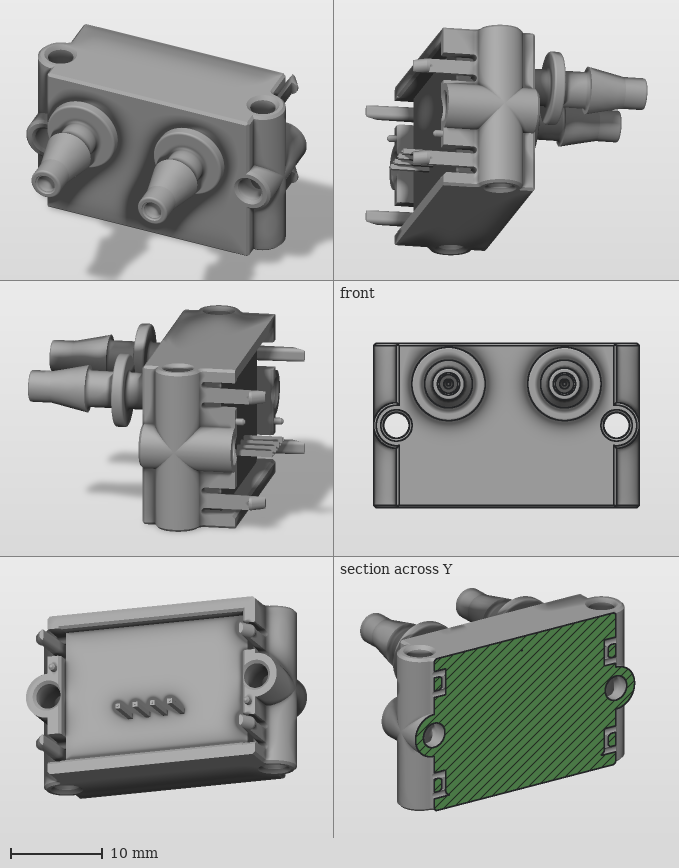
import cadquery as cq

OVERALL_WIDTH = 29
HALF_WIDTH = 12.0
DEPTH = 10.3
HEIGHT = 17.95
EDGE_CHAMFER = 0.3

BARREL_RADIUS = OVERALL_WIDTH / 2 - HALF_WIDTH
BARREL_Y = 4.0
BARREL_FILLET = 0.5
SCREW_HOLE_RADIUS = 1.4
Y_COUNTERSINK_RADIUS = 1.7
Z_COUNTERSINK_RADIUS = 1.8

WALL = 1.5
CAVITY_DEPTH = 1.8
CORE_HALF_WIDTH = HALF_WIDTH - WALL

CLIP_WIDTH = 1.5
CLIP_ROOT_X = HALF_WIDTH - 1.07
CLIP_TIP_INNER_X = HALF_WIDTH - 0.7
CLIP_ROUND = 0.44
CLIP_TIP_Y = 13.6
HOOK_LEDGE_Y = 11.95
HOOK_RAMP_Y = 12.3
HOOK_REACH = 0.65
HOOK_TIP_INSET = 0.23
HOOK_FILLET = 0.7
SLOT_WIDTH = 3.1
SLOT_END_Y = 6.6
SLOT_FILLET = 0.38
CORE_CORNER_RADIUS = 0.58
LOW_CLIP_Z = -5.97
LEFT_HIGH_CLIP_Z = 4.5
RIGHT_HIGH_CLIP_Z = 5.97

PEG_X = HALF_WIDTH - WALL / 2
PEG_Z = 3.0
PEG_RADIUS = 0.38
PEG_LENGTH = 1.02
PEG_CHAMFER = 0.23

PIN_COUNT = 4
PIN_PITCH = 2.0
PIN_Z = -2.78
PIN_WIDTH = 0.55
PIN_SHOULDER_Y = 12.82
PIN_TIP_LENGTH = 0.15
PIN_TIP_WIDTH = 0.17

PORT_X = 6.32
PORT_Z = 4.52
TUBE_RADIUS = 2.0
ROOT_FILLET = 0.5
NECK_FILLET = 0.25
FLANGE_START = 2.55
FLANGE_END = 3.8
FLANGE_RADIUS = 4.0
FLANGE_ROUND = 0.23
BARB_START = 7.0
BARB_END = 11.0
BARB_RADIUS = 2.6
TIP_RADIUS = 1.75
TIP_ROUND = 0.23
PORT_LENGTH = 13.45
BORE_RADIUS = 1.02
BORE_MOUTH_RADIUS = 1.22
INLET_RADIUS = 0.52
INLET_END_RADIUS = 0.2
INLET_DEPTH = 1.0

SIDES = (-1, 1)


def plane_at(y, x=0, z=0):
    """Sketch plane facing +Y: local x is -X, local y is Z."""
    return cq.Workplane(cq.Plane(origin=(x, y, z), xDir=(-1, 0, 0), normal=(0, 1, 0)))


def section_plane(y):
    """Sketch plane facing -Y: local x is X, local y is Z; negative extrusions go toward +Y."""
    return cq.Workplane("XZ", origin=(0, y, 0))


def revolve_about_y(profile):
    """Revolve an XY profile, with radius along X, about the Y axis."""
    return profile.close().revolve(360, (0, 0, 0), (0, 1, 0))


def make_housing():
    z_barrels = (
        cq.Workplane("XY", origin=(0, BARREL_Y, -HEIGHT / 2))
        .pushPoints([(side * HALF_WIDTH, 0) for side in SIDES])
        .circle(BARREL_RADIUS)
        .extrude(HEIGHT)
    )
    body = (
        cq.Workplane("XY")
        .box(2 * HALF_WIDTH, DEPTH, HEIGHT, centered=(True, False, True))
        .union(z_barrels)
    )
    for side in SIDES:
        seam = cq.selectors.NearestToPointSelector((side * HALF_WIDTH, BARREL_Y + BARREL_RADIUS, 0))
        body = body.edges(seam).fillet(BARREL_FILLET)
    body = body.faces("<Z or >Z").edges("not(>Y)").chamfer(EDGE_CHAMFER)
    body = body.faces("<Y").edges("|Z").chamfer(EDGE_CHAMFER)
    for side in SIDES:
        y_barrel = plane_at(0, side * HALF_WIDTH).circle(BARREL_RADIUS).extrude(DEPTH)
        body = body.union(y_barrel.faces("<Y").chamfer(EDGE_CHAMFER))
    return body


def make_cavity():
    mouth = (
        plane_at(DEPTH)
        .rect(2 * (CORE_HALF_WIDTH + EDGE_CHAMFER), HEIGHT - 2 * (WALL - EDGE_CHAMFER))
        .extrude(-EDGE_CHAMFER, taper=45)
    )
    return (
        plane_at(DEPTH - CAVITY_DEPTH)
        .rect(2 * CORE_HALF_WIDTH, HEIGHT - 2 * WALL)
        .extrude(CAVITY_DEPTH)
        .union(mouth)
    )


def make_screw_hole(length, countersink_radius):
    """Through hole along Z, centred on the origin and countersunk at both ends."""
    countersink = countersink_radius - SCREW_HOLE_RADIUS
    return (
        cq.Workplane("XZ")
        .moveTo(0, -length / 2)
        .lineTo(countersink_radius, -length / 2)
        .lineTo(SCREW_HOLE_RADIUS, -length / 2 + countersink)
        .lineTo(SCREW_HOLE_RADIUS, length / 2 - countersink)
        .lineTo(countersink_radius, length / 2)
        .lineTo(0, length / 2)
        .close()
        .revolve(360, (0, 0, 0), (0, 1, 0))
    )


def make_clip_bar():
    """Bar on the +X side that tapers toward its tip and is rounded along its inner edges."""
    outer_x = HALF_WIDTH + HOOK_REACH
    bar = (
        cq.Workplane("XY")
        .polyline([
            (CLIP_ROOT_X, SLOT_END_Y),
            (outer_x, SLOT_END_Y),
            (outer_x, CLIP_TIP_Y),
            (CLIP_TIP_INNER_X, CLIP_TIP_Y),
        ])
        .close()
        .extrude(CLIP_WIDTH / 2, both=True)
    )
    return bar.faces("<X").edges("not |Z").fillet(CLIP_ROUND)


def make_slot(z):
    """Cutter on the +X side: a gap on both sides of the clip, joined by the clearance behind it."""
    depth = DEPTH - SLOT_END_Y
    gap_width = (SLOT_WIDTH - CLIP_WIDTH) / 2
    gap_outer_x = HALF_WIDTH + BARREL_FILLET
    gap_x = (gap_outer_x + CORE_HALF_WIDTH) / 2
    gap_thickness = gap_outer_x - CORE_HALF_WIDTH
    clearance = (
        plane_at(SLOT_END_Y, gap_x)
        .rect(gap_thickness, CLIP_WIDTH)
        .extrude(depth)
    )
    slot = clearance.cut(make_clip_bar())
    for level in SIDES:
        gap_z = level * (SLOT_WIDTH - gap_width) / 2
        gap = (
            plane_at(SLOT_END_Y, gap_x, gap_z)
            .rect(gap_thickness, gap_width)
            .extrude(depth)
        )
        slot = slot.union(gap.faces("<Y").edges("|X").fillet(SLOT_FILLET))
    return slot.translate((0, 0, z))


def make_core_corner_relief():
    """Cutter that rounds the lower +X corner of the core where the low slot exposes it."""
    low_z = WALL - HEIGHT / 2
    high_z = low_z + CORE_CORNER_RADIUS
    inner_x = CORE_HALF_WIDTH - CORE_CORNER_RADIUS
    return (
        section_plane(SLOT_END_Y)
        .moveTo(inner_x, low_z)
        .radiusArc((CORE_HALF_WIDTH, high_z), -CORE_CORNER_RADIUS)
        .lineTo(CORE_HALF_WIDTH, low_z)
        .close()
        .extrude(SLOT_END_Y - DEPTH)
    )


def make_slot_entry_chamfer():
    """Cutter that bevels the lower entry edge of the low +X slot."""
    low_z = LOW_CLIP_Z - SLOT_WIDTH / 2
    return (
        cq.Workplane("YZ", origin=(CORE_HALF_WIDTH, 0, 0))
        .polyline([
            (DEPTH, low_z),
            (DEPTH - EDGE_CHAMFER, low_z),
            (DEPTH, low_z - EDGE_CHAMFER),
        ])
        .close()
        .extrude(WALL)
    )


def make_clip():
    """Snap clip for the +X side, centred on Z = 0."""
    hook_x = HALF_WIDTH + HOOK_REACH
    clip = (
        cq.Workplane("XY")
        .polyline([
            (CLIP_ROOT_X, SLOT_END_Y),
            (HALF_WIDTH, SLOT_END_Y),
            (HALF_WIDTH, HOOK_LEDGE_Y),
            (hook_x, HOOK_LEDGE_Y),
            (hook_x, HOOK_RAMP_Y),
            (HALF_WIDTH - HOOK_TIP_INSET, CLIP_TIP_Y),
            (CLIP_TIP_INNER_X, CLIP_TIP_Y),
        ])
        .close()
        .extrude(CLIP_WIDTH / 2, both=True)
    )
    ramp_middle_x = HALF_WIDTH + (HOOK_REACH - HOOK_TIP_INSET) / 2
    ramp_middle_y = (HOOK_RAMP_Y + CLIP_TIP_Y) / 2
    lip_middle_y = (HOOK_LEDGE_Y + HOOK_RAMP_Y) / 2
    for z in (-CLIP_WIDTH / 2, CLIP_WIDTH / 2):
        ramp_edge = cq.selectors.NearestToPointSelector((ramp_middle_x, ramp_middle_y, z))
        lip_edge = cq.selectors.NearestToPointSelector((hook_x, lip_middle_y, z))
        clip = clip.edges(ramp_edge + lip_edge).fillet(HOOK_FILLET)
    return clip.intersect(make_clip_bar())


def make_pin(x):
    shank = plane_at(DEPTH - CAVITY_DEPTH, x, PIN_Z).rect(PIN_WIDTH, PIN_WIDTH)
    shank = shank.extrude(PIN_SHOULDER_Y - DEPTH + CAVITY_DEPTH)
    return shank.faces(">Y").workplane().rect(PIN_TIP_WIDTH, PIN_TIP_WIDTH).extrude(PIN_TIP_LENGTH)


def make_peg(x, z):
    peg = plane_at(DEPTH, x, z).circle(PEG_RADIUS).extrude(PEG_LENGTH)
    return peg.faces(">Y").chamfer(PEG_CHAMFER)


def make_port():
    """Solid barbed hose port along -Y, centred on the Y axis."""
    profile = (
        cq.Workplane("XY")
        .lineTo(TUBE_RADIUS + ROOT_FILLET, 0)
        .radiusArc((TUBE_RADIUS, -ROOT_FILLET), -ROOT_FILLET)
        .lineTo(TUBE_RADIUS, NECK_FILLET - FLANGE_START)
        .radiusArc((TUBE_RADIUS + NECK_FILLET, -FLANGE_START), -NECK_FILLET)
        .lineTo(FLANGE_RADIUS - FLANGE_ROUND, -FLANGE_START)
        .radiusArc((FLANGE_RADIUS, -FLANGE_START - FLANGE_ROUND), FLANGE_ROUND)
        .lineTo(FLANGE_RADIUS, FLANGE_ROUND - FLANGE_END)
        .radiusArc((FLANGE_RADIUS - FLANGE_ROUND, -FLANGE_END), FLANGE_ROUND)
        .lineTo(TUBE_RADIUS + NECK_FILLET, -FLANGE_END)
        .radiusArc((TUBE_RADIUS, -FLANGE_END - NECK_FILLET), -NECK_FILLET)
        .lineTo(TUBE_RADIUS, NECK_FILLET - BARB_START)
        .radiusArc((TUBE_RADIUS + NECK_FILLET, -BARB_START), -NECK_FILLET)
        .lineTo(BARB_RADIUS, -BARB_START)
        .lineTo(TIP_RADIUS, -BARB_END)
        .lineTo(TIP_RADIUS, TIP_ROUND - PORT_LENGTH)
        .radiusArc((TIP_RADIUS - TIP_ROUND, -PORT_LENGTH), TIP_ROUND)
        .lineTo(0, -PORT_LENGTH)
    )
    return revolve_about_y(profile)


def make_bore():
    """Port bore with a rounded mouth and a tapered inlet in its floor."""
    mouth_round = BORE_MOUTH_RADIUS - BORE_RADIUS
    profile = (
        cq.Workplane("XY")
        .moveTo(0, -PORT_LENGTH)
        .lineTo(BORE_MOUTH_RADIUS, -PORT_LENGTH)
        .radiusArc((BORE_RADIUS, mouth_round - PORT_LENGTH), -mouth_round)
        .lineTo(BORE_RADIUS, -INLET_DEPTH)
        .lineTo(INLET_RADIUS, -INLET_DEPTH)
        .lineTo(INLET_END_RADIUS, 0)
        .lineTo(0, 0)
    )
    return revolve_about_y(profile)


right_slots = make_slot(RIGHT_HIGH_CLIP_Z).union(make_slot(LOW_CLIP_Z))
left_slots = make_slot(LEFT_HIGH_CLIP_Z).union(make_slot(LOW_CLIP_Z)).mirror("YZ")
slot_edges = make_core_corner_relief().union(make_slot_entry_chamfer())
slot_edges = slot_edges.union(slot_edges.mirror("YZ"))

right_clip = make_clip()
left_clip = right_clip.mirror("YZ")

result = make_housing().cut(make_cavity())
result = result.cut(right_slots).cut(left_slots).cut(slot_edges)
for clip, high_z in ((left_clip, LEFT_HIGH_CLIP_Z), (right_clip, RIGHT_HIGH_CLIP_Z)):
    result = result.union(clip.translate((0, 0, high_z)))
    result = result.union(clip.translate((0, 0, LOW_CLIP_Z)))

for side in SIDES:
    y_hole = make_screw_hole(DEPTH, Y_COUNTERSINK_RADIUS).rotate((0, 0, 0), (1, 0, 0), 90)
    result = result.cut(y_hole.translate((side * HALF_WIDTH, DEPTH / 2, 0)))
    z_hole = make_screw_hole(HEIGHT, Z_COUNTERSINK_RADIUS)
    result = result.cut(z_hole.translate((side * HALF_WIDTH, BARREL_Y, 0)))
    result = result.union(make_peg(side * PEG_X, side * PEG_Z))
    port_center = (side * PORT_X, 0, PORT_Z)
    result = result.union(make_port().translate(port_center))
    result = result.cut(make_bore().translate(port_center))

for index in range(PIN_COUNT):
    result = result.union(make_pin((index - (PIN_COUNT - 1) / 2) * PIN_PITCH))